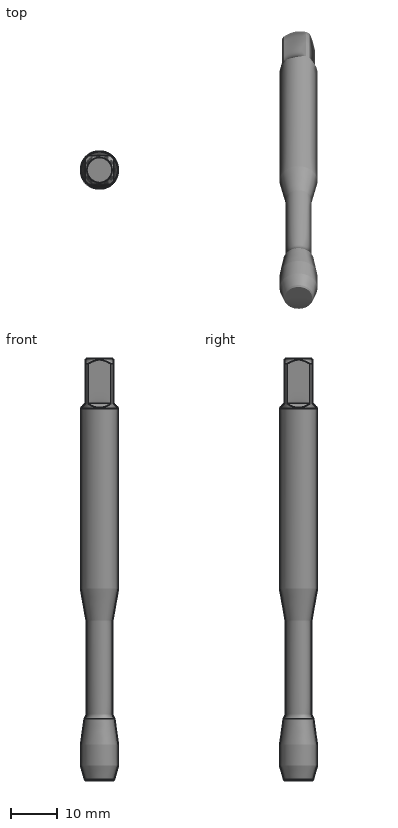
import cadquery as cq

overall_length = 90.1

head_diameter = 8.05
tip_diameter = 5.81
lead_start_diameter = 6.35
lead_start = 0.3
lead_end = 3.27
band_end = 7.705
head_top_diameter = 6.5
head_top = 13.22

neck_diameter = 5.65
flare_start_diameter = 5.88
flare_start = 13.72
neck_bottom = 14.12
neck_top = 34.08
taper_start_diameter = 5.68
taper_start = 34.23

shank_diameter = 8.08
taper_end = 40.98
shoulder_top = 79.475

drive_diameter = 7.75
drive_across_flats = 6.025
drive_flat_length = 9.635
drive_chamfer = 1.2
drive_flat_count = 4


def revolved(profile):
    """Solid of revolution about Z from (radius, height) points that start and end on the axis."""
    return cq.Workplane("XZ").polyline(profile).close().revolve(360, (0, 0), (0, 1))


def make_cutting_head():
    head_radius = head_diameter / 2
    return revolved(
        [
            (0, 0),
            (tip_diameter / 2, 0),
            (lead_start_diameter / 2, lead_start),
            (head_radius, lead_end),
            (head_radius, band_end),
            (head_top_diameter / 2, head_top),
            (0, head_top),
        ]
    )


def make_shank_blank():
    """Neck, taper, round shank and the round stem that the square drive is cut from."""
    neck_radius = neck_diameter / 2
    shank_radius = shank_diameter / 2
    drive_radius = drive_diameter / 2
    shoulder_chamfer = shank_radius - drive_radius
    return revolved(
        [
            (0, head_top),
            (head_top_diameter / 2, head_top),
            (flare_start_diameter / 2, flare_start),
            (neck_radius, neck_bottom),
            (neck_radius, neck_top),
            (taper_start_diameter / 2, taper_start),
            (shank_radius, taper_end),
            (shank_radius, shoulder_top - shoulder_chamfer),
            (drive_radius, shoulder_top),
            (drive_radius, overall_length - drive_chamfer),
            (drive_radius - drive_chamfer, overall_length),
            (0, overall_length),
        ]
    )


def make_flat_cutter():
    """Prism that cuts the +X flat, with a 45 degree ramp running out at its lower end."""
    flat_distance = drive_across_flats / 2
    reach = shank_diameter / 2
    flat_bottom = overall_length - drive_flat_length
    return (
        cq.Workplane("XZ")
        .polyline(
            [
                (flat_distance, overall_length),
                (flat_distance, flat_bottom),
                (flat_distance + reach, flat_bottom - reach),
                (flat_distance + reach, overall_length),
            ]
        )
        .close()
        .extrude(reach, both=True)
    )


def make_shank():
    shank = make_shank_blank()
    for side in range(drive_flat_count):
        angle = side * 360 / drive_flat_count
        shank = shank.cut(make_flat_cutter().rotate((0, 0, 0), (0, 0, 1), angle))
    return shank


cutting_head = make_cutting_head()
shank = make_shank()

result = cq.Compound.makeCompound([cutting_head.val(), shank.val()])